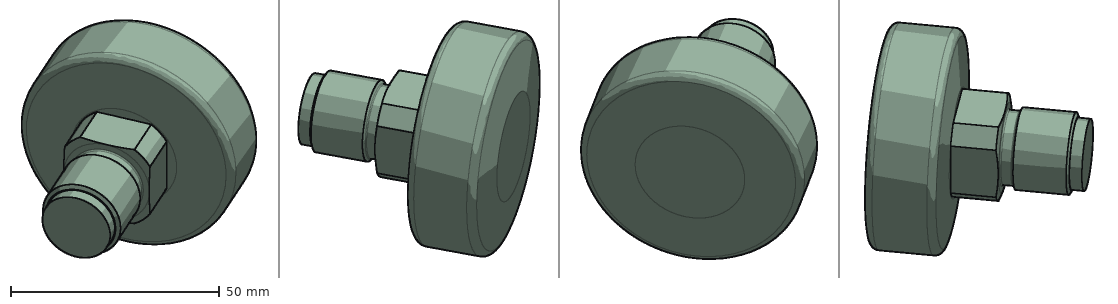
import cadquery as cq
import math

HEAD_DIAMETER = 55.0
HEAD_THICKNESS = 19.8
HEAD_FLAT_DIAMETER = 27.0
HEAD_TAPER_ANGLE = 6.0
HEAD_EDGE_RADIUS = 2.0

COLLAR_WIDTH = 22.0
COLLAR_CORNER_DIAMETER = 26.05
COLLAR_LENGTH = 11.55
COLLAR_CHAMFER_ANGLE = 15.0

NECK_DIAMETER = 18.2
NECK_FILLET = 0.35
NECK_END = 14.45
BODY_DIAMETER = 20.0
BODY_END = 28.5
BODY_FRONT_DIAMETER = 17.95
BODY_CHAMFER_ANGLE = 30.0
TIP_DIAMETER = 17.5
STEM_LENGTH = 31.5


def revolve_about_y(points):
    """Revolve a closed (radius, y) outline around the Y axis."""
    return cq.Workplane("XY").polyline(points).close().revolve(360, (0, 0, 0), (0, 1, 0))


def chamfer_length(outer_diameter, inner_diameter, angle):
    """Axial length of a cone between two diameters, at an angle to the end face."""
    return (outer_diameter - inner_diameter) / 2 * math.tan(math.radians(angle))


def make_head():
    radius = HEAD_DIAMETER / 2
    flat_radius = HEAD_FLAT_DIAMETER / 2
    taper_depth = chamfer_length(HEAD_DIAMETER, HEAD_FLAT_DIAMETER, HEAD_TAPER_ANGLE)
    head = revolve_about_y([
        (0, 0),
        (flat_radius, 0),
        (radius, taper_depth),
        (radius, HEAD_THICKNESS - taper_depth),
        (flat_radius, HEAD_THICKNESS),
        (0, HEAD_THICKNESS),
    ])
    rim = cq.selectors.RadiusNthSelector(-1)
    return head.edges(rim).fillet(HEAD_EDGE_RADIUS)


def make_collar():
    corner_radius = COLLAR_CORNER_DIAMETER / 2
    chamfer = chamfer_length(COLLAR_CORNER_DIAMETER, COLLAR_WIDTH, COLLAR_CHAMFER_ANGLE)
    square = cq.Workplane("XZ").rect(COLLAR_WIDTH, COLLAR_WIDTH).extrude(COLLAR_LENGTH)
    round_envelope = revolve_about_y([
        (0, 0),
        (corner_radius, 0),
        (corner_radius, chamfer - COLLAR_LENGTH),
        (COLLAR_WIDTH / 2, -COLLAR_LENGTH),
        (0, -COLLAR_LENGTH),
    ])
    return square.intersect(round_envelope)


def make_stem():
    neck_radius = NECK_DIAMETER / 2
    body_radius = BODY_DIAMETER / 2
    tip_radius = TIP_DIAMETER / 2
    rear_chamfer = chamfer_length(BODY_DIAMETER, NECK_DIAMETER, BODY_CHAMFER_ANGLE)
    front_chamfer = chamfer_length(BODY_DIAMETER, BODY_FRONT_DIAMETER, BODY_CHAMFER_ANGLE)
    return revolve_about_y([
        (0, 0),
        (neck_radius, 0),
        (neck_radius, -NECK_END),
        (body_radius, -NECK_END - rear_chamfer),
        (body_radius, front_chamfer - BODY_END),
        (BODY_FRONT_DIAMETER / 2, -BODY_END),
        (tip_radius, -BODY_END),
        (tip_radius, -STEM_LENGTH),
        (0, -STEM_LENGTH),
    ])


def fillet_neck(part):
    """Round the inside corners at both ends of the neck."""
    neck_ends = cq.selectors.RadiusNthSelector(2)
    return part.edges(neck_ends).fillet(NECK_FILLET)


result = fillet_neck(make_head().union(make_collar()).union(make_stem()))